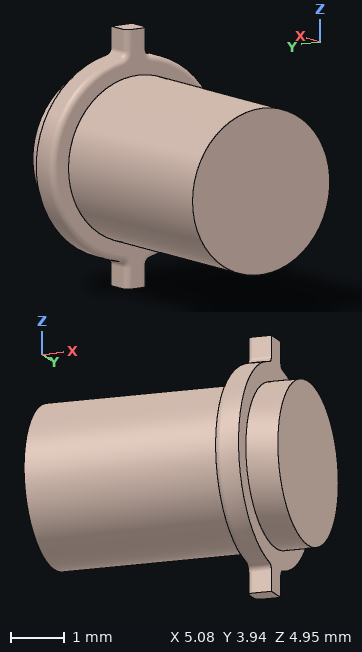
import cadquery as cq

length = 5.08
barrel_diameter = 3.175
flange_diameter = 3.94
flange_start = 3.94
flange_thickness = 0.5
tab_width = 0.5
tab_span = 4.95
edge_radius = 0.125
root_radius = 0.125


def make_barrel():
    """Plain cylinder running the full length, through the flange."""
    return cq.Workplane("YZ").circle(barrel_diameter / 2).extrude(length)


def make_flange():
    """Disc with two opposite tabs along Z, rounded on its front side only."""
    plane = cq.Workplane("YZ").workplane(offset=flange_start)
    disc = plane.circle(flange_diameter / 2).extrude(flange_thickness)
    tabs = plane.rect(tab_width, tab_span).extrude(flange_thickness)
    flange = disc.union(tabs)

    flange = flange.edges("|X and (not(<Z or >Z))").edges(
        cq.selectors.BoxSelector(
            (flange_start, -tab_width, -flange_diameter / 2),
            (flange_start + flange_thickness, tab_width, flange_diameter / 2),
        )
    ).fillet(root_radius)

    return flange.faces("<X").edges("not(<Z or >Z)").fillet(edge_radius)


result = make_barrel().union(make_flange())